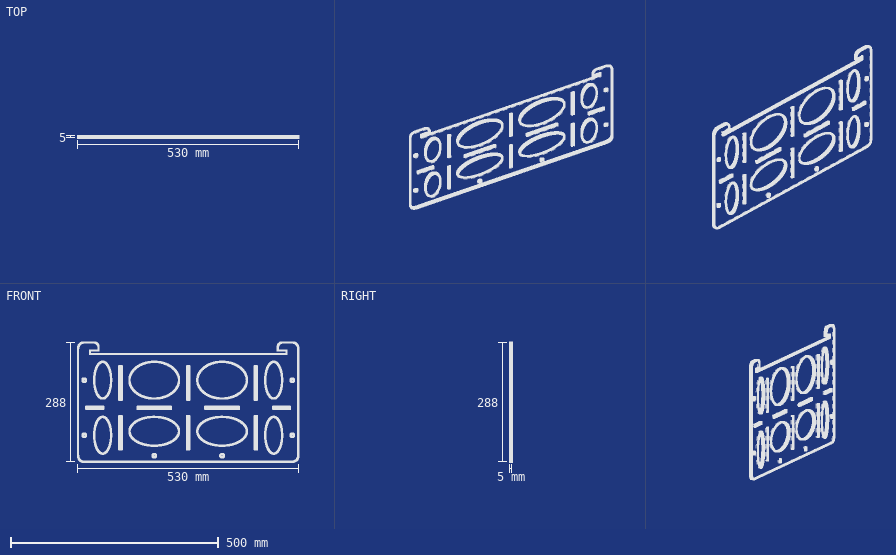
import cadquery as cq

width = 530.0
height = 288.0
thickness = 5.0
corner_radius = 15.0

hook_width = 50.0
hook_tip_radius = 12.0
hook_wall = 29.0
shoulder_height = 259.5
notch_height = 8.0

inner_column = 81.5
rib_slot_column = 162.5
outer_column = 205.5
short_slot_column = 224.5
side_hole_column = 250.0
upper_row = 196.5
lower_row = 64.0
middle_row = 130.0
bottom_hole_row = 15.0

wide_window_width = 118.5
narrow_window_width = 40.5
window_height = 88.0
low_window_height = 69.0
low_window_row = 73.5

slot_width = thickness
long_slot = 80.0
short_slot = long_slot / 2
slot_row_offset = 60.0
hole_diameter = 8.0


def mirrored(column, rows):
    """Points at each row, on both sides of the centre line."""
    return [(side * column, row) for row in rows for side in (-1, 1)]


def front_plane():
    """Sketch plane through the middle of the plate thickness."""
    return cq.Workplane("XZ")


def extrude_through(sketch):
    return sketch.extrude(thickness / 2, both=True)


def make_plate():
    plate = extrude_through(front_plane().center(0, height / 2).rect(width, height))
    plate = plate.edges("|Y").fillet(corner_radius)

    half_opening = width / 2 - hook_width
    half_undercut = width / 2 - hook_wall
    notch_top = shoulder_height + notch_height
    opening = (
        front_plane()
        .moveTo(-half_opening - hook_tip_radius, height)
        .radiusArc((-half_opening, height - hook_tip_radius), hook_tip_radius)
        .lineTo(-half_opening, notch_top)
        .lineTo(-half_undercut, notch_top)
        .lineTo(-half_undercut, shoulder_height)
        .lineTo(half_undercut, shoulder_height)
        .lineTo(half_undercut, notch_top)
        .lineTo(half_opening, notch_top)
        .lineTo(half_opening, height - hook_tip_radius)
        .radiusArc((half_opening + hook_tip_radius, height), hook_tip_radius)
        .close()
    )
    return plate.cut(extrude_through(opening))


def windows(points, window_width, window_length):
    sketch = front_plane().pushPoints(points)
    return extrude_through(sketch.ellipse(window_width / 2, window_length / 2))


def slots(points, size_x, size_z):
    return extrude_through(front_plane().pushPoints(points).rect(size_x, size_z))


def holes(points):
    return extrude_through(front_plane().pushPoints(points).circle(hole_diameter / 2))


rows = (upper_row, lower_row)
slot_rows = (middle_row + slot_row_offset, middle_row - slot_row_offset)
centre_slots = [(0, row) for row in slot_rows]

cutouts = [
    windows(mirrored(inner_column, [upper_row]), wide_window_width, window_height),
    windows(mirrored(inner_column, [low_window_row]), wide_window_width, low_window_height),
    windows(mirrored(outer_column, rows), narrow_window_width, window_height),
    slots(mirrored(rib_slot_column, slot_rows) + centre_slots, slot_width, long_slot),
    slots(mirrored(inner_column, [middle_row]), long_slot, slot_width),
    slots(mirrored(short_slot_column, [middle_row]), short_slot, slot_width),
    holes(mirrored(side_hole_column, rows)),
    holes(mirrored(inner_column, [bottom_hole_row])),
]

result = make_plate()
for cutout in cutouts:
    result = result.cut(cutout)